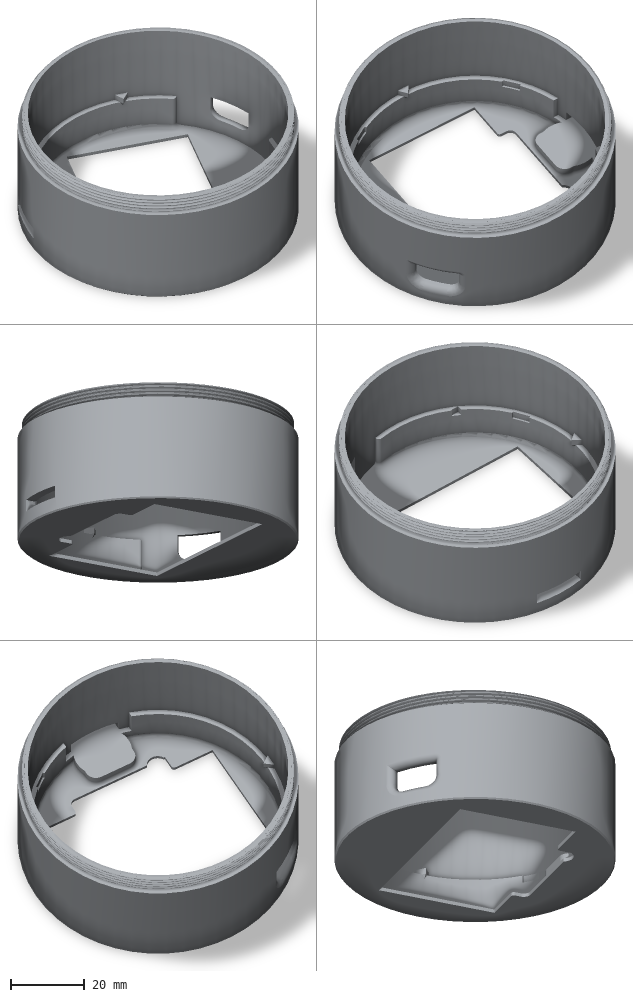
import cadquery as cq
import math

housing_diameter = 76.2
bore_diameter = 70.6
shoulder_height = 28.8
total_height = 33.4
floor_thickness = 1.0
base_chamfer = 0.4

housing_radius = housing_diameter / 2
bore_radius = bore_diameter / 2
wall_middle_radius = (bore_radius + housing_radius) / 2

thread_root_diameter = 72.6
thread_crest_diameter = 73.8
thread_pitch = 1.0
thread_turns = 6
thread_start_height = 28.1
thread_root_width = 0.75 * thread_pitch
thread_crest_width = 0.125 * thread_pitch
thread_root_overlap = 0.1

thread_root_radius = thread_root_diameter / 2
thread_crest_radius = thread_crest_diameter / 2

ledge_inner_radius = 33.9
ledge_top = 10.9
ledge_gap_start = 102.5
ledge_gap_end = 155.5
ledge_end_round = 1.0
foot_fillet = 1.0

notch_depth = 2.1
corner_notch_x = 17.55
corner_notch_y = 30.5
corner_notch_width = 2.25
corner_notch_length = 5.0
flat_notch_width = 5.0
flat_notch_reach = 34.35
flat_notch_angles = (31.0, -50.4)

pad_top = 4.0
pad_half_width = 7.4
pad_back_y = -23.2
pad_corner_radius = 3.0
lobe_middle_y = -30.2
lobe_half_length = 3.0
lobe_bulge = 0.6
lobe_blend_radius = 1.2
magnet_diameter = 4.4
magnet_depth = 2.0
magnet_x = 3.75
magnet_y = -29.8
ledge_break_half_width = 10.2

slot_width = 15.0
slot_height = 3.3

opening_half_width = 27.15
opening_top_y = 16.4
opening_bottom_y = -17.8
recess_left = -14.8
recess_right = 15.2
recess_bottom_y = -22.2
recess_mouth_round = 0.8
recess_corner_round = 1.9
relief_radius = 3.0
relief_y = -20.8

window_angle = 129.7
window_width = 12.4
window_bottom = 5.5
window_top = 12.6
window_corner_radius = 3.0
window_edge_break = 1.75

pointer_tip_radius = 32.9
pointer_half_width = 1.85
pointer_height = 1.75
pointer_support_drop = 1.15
pointer_angles = (0, 180)

overshoot = 5.0
tolerance = 0.01


def disc(radius, bottom, top):
    return cq.Workplane("XY").workplane(offset=bottom).circle(radius).extrude(top - bottom)


def tube(outer_radius, inner_radius, bottom, top):
    return disc(outer_radius, bottom, top).cut(disc(inner_radius, bottom, top))


def block(x_min, x_max, y_min, y_max, bottom, top):
    box = cq.Workplane("XY").box(x_max - x_min, y_max - y_min, top - bottom, centered=False)
    return box.translate((x_min, y_min, bottom))


def polar(radius, angle):
    return (radius * math.cos(math.radians(angle)), radius * math.sin(math.radians(angle)))


def distance_from_axis(point):
    return math.hypot(point.x, point.y)


def make_shell():
    body = disc(housing_radius, 0, shoulder_height).faces("<Z").edges().chamfer(base_chamfer)
    collar = disc(thread_root_radius, shoulder_height, total_height)
    return body.union(collar).cut(disc(bore_radius, floor_thickness, total_height))


def make_ledge():
    """Ledge reaching from its inner face into the wall, open between the two gap angles."""
    middle_angle = (ledge_gap_start + ledge_gap_end) / 2 + 180
    ledge = (
        cq.Workplane("XY")
        .workplane(offset=floor_thickness)
        .moveTo(*polar(ledge_inner_radius, ledge_gap_end))
        .threePointArc(polar(ledge_inner_radius, middle_angle), polar(ledge_inner_radius, ledge_gap_start))
        .lineTo(*polar(wall_middle_radius, ledge_gap_start))
        .threePointArc(polar(wall_middle_radius, middle_angle), polar(wall_middle_radius, ledge_gap_end))
        .close()
        .extrude(ledge_top - floor_thickness)
    )
    for angle in (ledge_gap_start, ledge_gap_end):
        corner = polar(ledge_inner_radius, angle) + ((floor_thickness + ledge_top) / 2,)
        ledge = ledge.edges(cq.NearestToPointSelector(corner)).fillet(ledge_end_round)
    return ledge


def make_pad():
    """Pad with a rounded back and a shallow lobe bulging from each side."""
    front_y = -wall_middle_radius
    lobe_back_y = lobe_middle_y + lobe_half_length
    lobe_front_y = lobe_middle_y - lobe_half_length
    side = pad_half_width
    pad = (
        cq.Workplane("XY")
        .workplane(offset=floor_thickness)
        .moveTo(side, pad_back_y)
        .lineTo(side, lobe_back_y)
        .threePointArc((side + lobe_bulge, lobe_middle_y), (side, lobe_front_y))
        .lineTo(side, front_y)
        .lineTo(-side, front_y)
        .lineTo(-side, lobe_front_y)
        .threePointArc((-side - lobe_bulge, lobe_middle_y), (-side, lobe_back_y))
        .lineTo(-side, pad_back_y)
        .close()
        .extrude(pad_top - floor_thickness)
        .edges("|Z and >Y")
        .fillet(pad_corner_radius)
    )
    for x in (-side, side):
        corner = (x, lobe_back_y, (floor_thickness + pad_top) / 2)
        pad = pad.edges(cq.NearestToPointSelector(corner)).fillet(lobe_blend_radius)
    return pad.intersect(disc(wall_middle_radius, floor_thickness, pad_top))


def fillet_foot(body):
    """Round the ledge and the pad into the floor."""
    foot = []
    for edge in body.edges().vals():
        box = edge.BoundingBox()
        on_floor = max(abs(box.zmin - floor_thickness), abs(box.zmax - floor_thickness)) < tolerance
        if on_floor and distance_from_axis(edge.positionAt(0.5)) < bore_radius - tolerance:
            foot.append(edge)
    return body.newObject(foot).fillet(foot_fillet)


def make_ledge_break():
    """Space above the pad where the ledge is interrupted."""
    half_width = ledge_break_half_width
    space = block(-half_width, half_width, -bore_radius, 0, pad_top, ledge_top)
    return space.intersect(disc(bore_radius, pad_top, ledge_top))


def cut_ledge_notches(body):
    bottom = ledge_top - notch_depth
    corner_notch = block(
        corner_notch_x - corner_notch_width,
        corner_notch_x,
        corner_notch_y - corner_notch_length,
        corner_notch_y,
        bottom,
        ledge_top,
    )
    body = body.cut(corner_notch)
    half_width = flat_notch_width / 2
    flat_notch = block(
        flat_notch_reach - flat_notch_width, flat_notch_reach, -half_width, half_width, bottom, ledge_top
    )
    for angle in flat_notch_angles:
        body = body.cut(flat_notch.rotate((0, 0, 0), (0, 0, 1), angle))
    return body


def make_floor_opening():
    main = block(-opening_half_width, opening_half_width, opening_bottom_y, opening_top_y, 0, pad_top)
    recess = (
        block(recess_left, recess_right, recess_bottom_y, opening_bottom_y, 0, pad_top)
        .edges("|Z and >X and <Y")
        .fillet(recess_corner_round)
    )
    relief = disc(relief_radius, 0, pad_top).translate((recess_left + relief_radius, relief_y, 0))
    opening = main.union(recess).union(relief)
    for x in (recess_left, recess_right):
        mouth = (x, opening_bottom_y, pad_top / 2)
        opening = opening.edges(cq.NearestToPointSelector(mouth)).fillet(recess_mouth_round)
    return opening


def window_rim(body):
    """Edges of the window on the outer surface of the housing."""
    middle_x, middle_y = polar(housing_radius, window_angle)
    nearby = cq.selectors.BoxSelector(
        (middle_x - window_width, middle_y - window_width, window_bottom - overshoot / 2),
        (middle_x + window_width, middle_y + window_width, window_top + overshoot),
    )
    rim = []
    for edge in body.edges(nearby).vals():
        points = [edge.positionAt(t) for t in (0, 0.3, 0.6, 1)]
        if all(abs(distance_from_axis(point) - housing_radius) < tolerance for point in points):
            rim.append(edge)
    return rim


def cut_window(body):
    window = (
        cq.Workplane("YZ")
        .center(0, (window_bottom + window_top) / 2)
        .rect(window_width, window_top - window_bottom)
        .extrude(housing_radius + overshoot)
        .edges("|X and <Z")
        .fillet(window_corner_radius)
        .rotate((0, 0, 0), (0, 0, 1), window_angle)
    )
    window = window.cut(disc(ledge_inner_radius, 0, shoulder_height))
    body = body.cut(window)
    return body.newObject(window_rim(body)).fillet(window_edge_break)


def make_front_slot():
    half_width = slot_width / 2
    return block(
        -half_width, half_width, -housing_radius, -ledge_inner_radius, pad_top, pad_top + slot_height
    )


def make_magnets():
    return (
        cq.Workplane("XY")
        .workplane(offset=pad_top - magnet_depth)
        .pushPoints([(-magnet_x, magnet_y), (magnet_x, magnet_y)])
        .circle(magnet_diameter / 2)
        .extrude(magnet_depth)
    )


def make_housing():
    body = make_shell().union(make_ledge()).union(make_pad())
    body = fillet_foot(body)
    body = body.cut(make_ledge_break())
    body = cut_ledge_notches(body)
    body = body.cut(make_floor_opening())
    body = cut_window(body)
    body = body.cut(make_front_slot())
    return body.cut(make_magnets())


def make_pointer(angle):
    """Triangular wedge on the ledge, with a leaning support under its overhanging tip."""
    base_x = bore_radius + 0.1 * overshoot
    slope = pointer_half_width / (bore_radius - pointer_tip_radius)
    base_half_width = slope * (base_x - pointer_tip_radius)
    outline = [(pointer_tip_radius, 0), (base_x, base_half_width), (base_x, -base_half_width)]
    top = cq.Workplane("XY").workplane(offset=ledge_top).polyline(outline).close().extrude(pointer_height)
    top = top.intersect(disc(bore_radius, ledge_top, total_height))

    lean = cq.Vector(ledge_inner_radius - pointer_tip_radius, 0, -pointer_support_drop)
    wire = cq.Wire.makePolygon([cq.Vector(x, y, ledge_top) for x, y in outline], close=True)
    support = cq.Workplane(cq.Solid.extrudeLinear(wire, [], lean))
    support = support.intersect(disc(ledge_inner_radius, 0, ledge_top))
    return top.union(support).rotate((0, 0, 0), (0, 0, 1), angle)


def make_thread():
    """Helical tooth, trimmed to the collar surface and to the collar height."""
    inner_radius = thread_root_radius - thread_root_overlap
    crest_half = thread_crest_width / 2
    flank_slope = (thread_root_width / 2 - crest_half) / (thread_crest_radius - thread_root_radius)
    inner_half = thread_root_width / 2 + flank_slope * thread_root_overlap
    helix = cq.Wire.makeHelix(
        thread_pitch,
        thread_pitch * thread_turns,
        thread_root_radius,
        center=cq.Vector(0, 0, thread_start_height),
    )
    profile = [
        (inner_radius, thread_start_height - inner_half),
        (thread_crest_radius, thread_start_height - crest_half),
        (thread_crest_radius, thread_start_height + crest_half),
        (inner_radius, thread_start_height + inner_half),
    ]
    tooth = cq.Workplane("XZ").polyline(profile).close().sweep(cq.Workplane(helix), isFrenet=True)
    return tooth.intersect(tube(housing_radius, thread_root_radius, shoulder_height, total_height))


housing = make_housing()
thread = make_thread()
magnets = make_magnets()
pointers = [make_pointer(angle) for angle in pointer_angles]

result = cq.Compound.makeCompound(
    [housing.val(), thread.val(), *magnets.vals(), *[pointer.val() for pointer in pointers]]
)